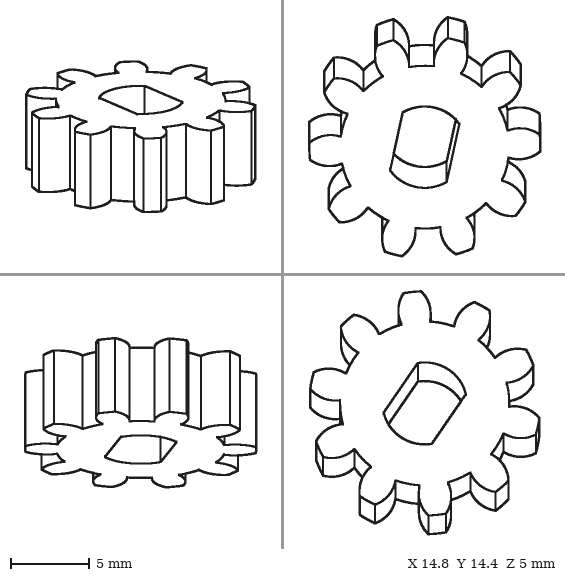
import cadquery as cq
import math

tooth_count = 10
tip_radius = 7.39
root_radius = 5.41
thickness = 5.0

root_half_width = 0.9
widest_half_width = 1.03
tip_half_width = 0.56
widest_radius = 6.06

bore_diameter = 5.4
across_flats = 3.7
flat_tilt = -3.9


def distance_along_tooth(radius, half_width):
    """Position along the tooth centreline of a point on a circle about the axis."""
    return math.sqrt(radius**2 - half_width**2)


def make_tooth(angle):
    """One tooth with bulging flanks and a tip on the outer circle."""
    root_x = distance_along_tooth(root_radius, root_half_width)
    tip_x = distance_along_tooth(tip_radius, tip_half_width)
    inner_x = root_radius / 2
    tooth = (
        cq.Workplane("XY")
        .moveTo(inner_x, -root_half_width)
        .lineTo(root_x, -root_half_width)
        .threePointArc((widest_radius, -widest_half_width), (tip_x, -tip_half_width))
        .threePointArc((tip_radius, 0), (tip_x, tip_half_width))
        .threePointArc((widest_radius, widest_half_width), (root_x, root_half_width))
        .lineTo(inner_x, root_half_width)
        .close()
        .extrude(thickness)
    )
    return tooth.rotate((0, 0, 0), (0, 0, 1), angle)


def make_bore():
    """Round bore narrowed by two opposite flats, turned slightly about Z."""
    round_bore = cq.Workplane("XY").circle(bore_diameter / 2).extrude(thickness)
    flats = cq.Workplane("XY").rect(bore_diameter, across_flats).extrude(thickness)
    return round_bore.intersect(flats).rotate((0, 0, 0), (0, 0, 1), flat_tilt)


result = cq.Workplane("XY").circle(root_radius).extrude(thickness)
for index in range(tooth_count):
    result = result.union(make_tooth(index * 360 / tooth_count))
result = result.cut(make_bore())